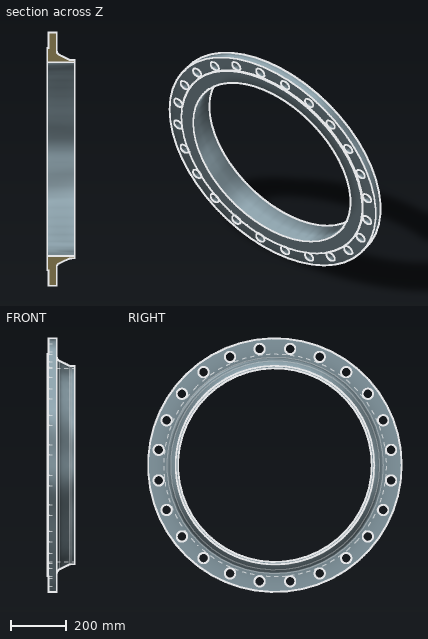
import cadquery as cq

outer_dia = 910.0
bore_dia = 693.0
neck_dia = 712.0
hub_root_dia = 757.0
raised_face_dia = 798.0
total_length = 100.0
raised_face_height = 5.0
flange_back = 35.5
neck_length = 18.0
root_blend_radius = 15.0
neck_blend_radius = 12.0
bolt_count = 24
bolt_hole_dia = 36.0
bolt_circle_dia = 840.0

sealing_face_x = -total_length / 2
flange_front_x = sealing_face_x + raised_face_height
flange_back_x = sealing_face_x + flange_back
weld_end_x = sealing_face_x + total_length
neck_start_x = weld_end_x - neck_length


def make_ring():
    """Revolve the (axial, radial) section of the weld neck flange about X."""
    section = [
        (sealing_face_x, bore_dia / 2),
        (sealing_face_x, raised_face_dia / 2),
        (flange_front_x, raised_face_dia / 2),
        (flange_front_x, outer_dia / 2),
        (flange_back_x, outer_dia / 2),
        (flange_back_x, hub_root_dia / 2),
        (neck_start_x, neck_dia / 2),
        (weld_end_x, neck_dia / 2),
        (weld_end_x, bore_dia / 2),
    ]
    return cq.Workplane("XY").polyline(section).close().revolve(360, (0, 0, 0), (1, 0, 0))


def blend_hub(ring):
    """Round both ends of the tapered hub."""
    clearance = 1.0
    hub_ends = (
        (flange_back_x, hub_root_dia, root_blend_radius),
        (neck_start_x, neck_dia, neck_blend_radius),
    )
    for x, diameter, blend_radius in hub_ends:
        reach = diameter / 2 + clearance
        edge_box = cq.selectors.BoxSelector(
            (x - clearance, -reach, -reach),
            (x + clearance, reach, reach),
            boundingbox=True,
        )
        ring = ring.edges(edge_box).fillet(blend_radius)
    return ring


def make_bolt_holes():
    """Bolt hole cutters, with the bolt pattern straddling the Y and Z axes."""
    pitch_angle = 360 / bolt_count
    return (
        cq.Workplane("YZ", origin=(sealing_face_x, 0, 0))
        .polarArray(bolt_circle_dia / 2, pitch_angle / 2, 360, bolt_count)
        .circle(bolt_hole_dia / 2)
        .extrude(total_length)
    )


result = blend_hub(make_ring()).cut(make_bolt_holes())